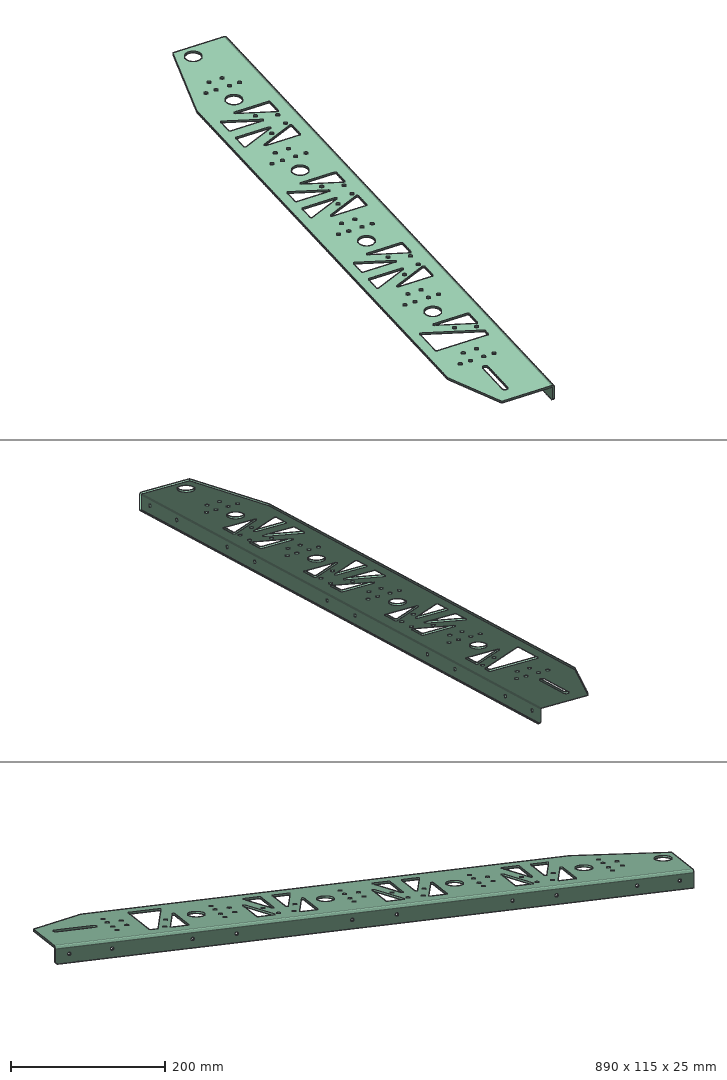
import cadquery as cq
import math

LENGTH = 890.0
WIDTH = 115.0
HEIGHT = 25.0
THICKNESS = 3.0
BEND_RADIUS = 4.0
CUT_DEPTH = 2 * THICKNESS
CUT_BASE_Z = -(THICKNESS + CUT_DEPTH) / 2

LEFT_END_WIDTH = 80.0
RIGHT_END_WIDTH = 78.0
LEFT_TAPER = 129.0
RIGHT_TAPER = 80.0
FLANGE_CHAMFER = 3.0

HOLE_LINE_Y = -60.5
BAY_COUNT = 4
BAYS_SPAN = 540.0
PITCH = BAYS_SPAN / (BAY_COUNT - 1)
LARGE_DIAMETER = 23.0
END_HOLE_X = 20.0
FIRST_LARGE_X = 130.0

SMALL_DIAMETER = 5.0
FIRST_GROUP_X = 100.0
LAST_GROUP_STEP = 150.0
NEAR_ROW = 10.0
FAR_ROW = 25.0
SIDE_COLUMN_OFFSET = 20.0

FIRST_BAY_X = 198.0
WINDOW_TOP_Y = -21.0
WINDOW_BOTTOM_Y = -100.0
WINDOW_OUTER_X = 43.0
RIB_HALF_WIDTH = 8.0
UPPER_INNER_X = 16.0
LOWER_OUTER_X = 34.0
BRACE_ANGLE = 24.0
LAST_WINDOW_RIGHT = 12.5
WINDOW_RADIUS = 2.0
BRACE_HOLES = [(11.0, -27.0), (22.0, -53.0)]

SLOT_LENGTH = 60.5
SLOT_WIDTH = 8.0
SLOT_CENTRE_X = 839.0

FLANGE_HOLE_DIAMETER = 4.5
FLANGE_HOLE_Z = -12.5
FLANGE_HOLES_FROM_END = [20.0, 79.0, 191.0, 253.0, 414.0]

BRACE_SLOPE = math.tan(math.radians(BRACE_ANGLE))


def plate_cutter():
    """Sketch plane from which plate cuts are extruded upwards through the sheet."""
    return cq.Workplane("XY", origin=(0, 0, CUT_BASE_Z))


def round_holes(points, diameter):
    return plate_cutter().pushPoints(points).circle(diameter / 2).extrude(CUT_DEPTH)


def folded_sheet():
    section = (
        cq.Workplane("YZ")
        .moveTo(-WIDTH, 0)
        .lineTo(-BEND_RADIUS, 0)
        .radiusArc((0, -BEND_RADIUS), BEND_RADIUS)
        .lineTo(0, -HEIGHT)
        .lineTo(-THICKNESS, -HEIGHT)
        .lineTo(-THICKNESS, -BEND_RADIUS)
        .radiusArc((-BEND_RADIUS, -THICKNESS), -(BEND_RADIUS - THICKNESS))
        .lineTo(-WIDTH, -THICKNESS)
        .close()
    )
    return section.extrude(LENGTH)


def end_tapers():
    """Triangular waste at the two front corners of the plate."""
    left = plate_cutter().polyline([(0, -LEFT_END_WIDTH), (LEFT_TAPER, -WIDTH), (0, -WIDTH)])
    right = plate_cutter().polyline(
        [(LENGTH, -RIGHT_END_WIDTH), (LENGTH - RIGHT_TAPER, -WIDTH), (LENGTH, -WIDTH)]
    )
    return left.close().extrude(CUT_DEPTH).union(right.close().extrude(CUT_DEPTH))


def flange_corner():
    """Waste at the lower right corner of the flange."""
    corner = cq.Workplane("XZ").polyline(
        [(LENGTH, -HEIGHT), (LENGTH - FLANGE_CHAMFER, -HEIGHT), (LENGTH, -HEIGHT + FLANGE_CHAMFER)]
    )
    return corner.close().extrude(CUT_DEPTH)


def large_holes():
    xs = [END_HOLE_X] + [FIRST_LARGE_X + i * PITCH for i in range(BAY_COUNT)]
    return round_holes([(x, HOLE_LINE_Y) for x in xs], LARGE_DIAMETER)


def hole_groups():
    xs = [FIRST_GROUP_X + i * PITCH for i in range(BAY_COUNT)]
    xs.append(xs[-1] + LAST_GROUP_STEP)
    points = []
    for x in xs:
        for row in (-FAR_ROW, -NEAR_ROW, NEAR_ROW, FAR_ROW):
            points.append((x, HOLE_LINE_Y + row))
        for row in (-NEAR_ROW, NEAR_ROW):
            points.append((x - SIDE_COLUMN_OFFSET, HOLE_LINE_Y + row))
    return round_holes(points, SMALL_DIAMETER)


def window(bay_x, side, corners):
    """Rounded window; side is -1 or +1 for the left or right of the bay centre."""
    outline = [(bay_x + side * x, y) for x, y in corners]
    blank = plate_cutter().polyline(outline).close().extrude(CUT_DEPTH)
    return blank.edges("|Z").fillet(WINDOW_RADIUS)


def upper_window(bay_x, side):
    tip_y = WINDOW_TOP_Y - (WINDOW_OUTER_X - UPPER_INNER_X) / BRACE_SLOPE
    corners = [(UPPER_INNER_X, WINDOW_TOP_Y), (WINDOW_OUTER_X, WINDOW_TOP_Y), (WINDOW_OUTER_X, tip_y)]
    return window(bay_x, side, corners)


def lower_window(bay_x, side):
    tip_y = WINDOW_BOTTOM_Y + (LOWER_OUTER_X - RIB_HALF_WIDTH) / BRACE_SLOPE
    corners = [
        (LOWER_OUTER_X, WINDOW_BOTTOM_Y),
        (RIB_HALF_WIDTH, WINDOW_BOTTOM_Y),
        (RIB_HALF_WIDTH, tip_y),
    ]
    return window(bay_x, side, corners)


def full_height_window(bay_x):
    """Last bay: the lower left window grows to the full height, with no rib."""
    top_x = LOWER_OUTER_X - (WINDOW_TOP_Y - WINDOW_BOTTOM_Y) * BRACE_SLOPE
    corners = [
        (LOWER_OUTER_X, WINDOW_BOTTOM_Y),
        (-LAST_WINDOW_RIGHT, WINDOW_BOTTOM_Y),
        (-LAST_WINDOW_RIGHT, WINDOW_TOP_Y),
        (top_x, WINDOW_TOP_Y),
    ]
    return window(bay_x, -1, corners)


def brace_holes(bay_x, side):
    return round_holes([(bay_x + side * x, y) for x, y in BRACE_HOLES], SMALL_DIAMETER)


def adjustment_slot():
    slot = plate_cutter().center(SLOT_CENTRE_X, HOLE_LINE_Y).slot2D(SLOT_LENGTH, SLOT_WIDTH)
    return slot.extrude(CUT_DEPTH)


def flange_holes():
    points = []
    for distance in FLANGE_HOLES_FROM_END:
        points.append((distance, FLANGE_HOLE_Z))
        points.append((LENGTH - distance, FLANGE_HOLE_Z))
    holes = cq.Workplane("XZ").pushPoints(points).circle(FLANGE_HOLE_DIAMETER / 2)
    return holes.extrude(CUT_DEPTH)


result = folded_sheet().cut(end_tapers()).cut(flange_corner())
result = result.cut(large_holes()).cut(hole_groups())

bay_centres = [FIRST_BAY_X + i * PITCH for i in range(BAY_COUNT)]
for centre_x in bay_centres[:-1]:
    for side in (-1, 1):
        result = result.cut(upper_window(centre_x, side)).cut(lower_window(centre_x, side))
        result = result.cut(brace_holes(centre_x, side))

last_x = bay_centres[-1]
result = result.cut(upper_window(last_x, -1)).cut(full_height_window(last_x)).cut(brace_holes(last_x, -1))

result = result.cut(adjustment_slot()).cut(flange_holes())